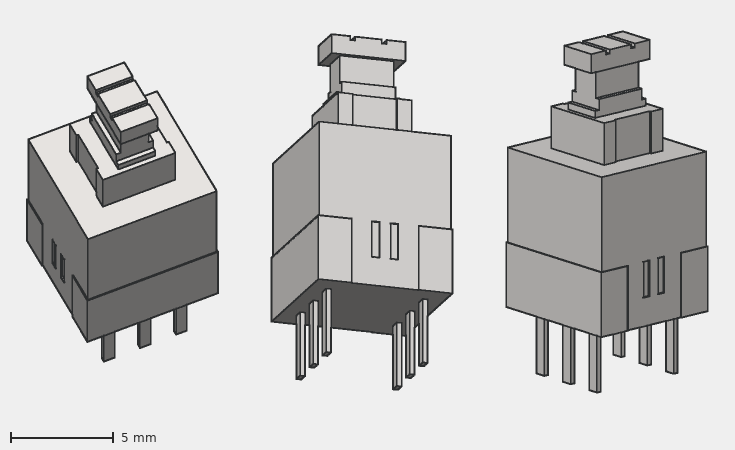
import cadquery as cq


pin_length = 3.25
clip_top = 6.54
housing_top = 11.35
collar_top = 13.48
foot_top = 13.83
ledge_top = 14.38
cap_bottom = 15.79
cap_top = 16.76

clip_x = 6.9
clip_y = 7.04
clip_thickness = 0.05
clip_return = 1.73
housing_x = clip_x - 2 * clip_thickness
housing_y = clip_y - 2 * clip_thickness

slot_width = 0.4
slot_height = 1.83
slot_spacing = 0.95
slot_depth = 0.1

collar_x = 3.8
collar_y = 3.9
recess_width = 2.28
recess_depth = 0.1

foot_x = 3.28
neck_x = 2.78
neck_y = 1.5
cap_x = collar_x
cap_y = 2.0
groove_width = 0.25
groove_depth = 0.2
groove_spacing = 1.63

pin_x = 0.25
pin_y = 0.59
pin_row_spacing = 4.98
pin_pitch = 1.95


def block(size_x, size_y, bottom, top, x=0, y=0):
    """Upright box centred on (x, y) between two levels."""
    return (
        cq.Workplane("XY")
        .box(size_x, size_y, top - bottom, centered=(True, True, False))
        .translate((x, y, bottom))
    )


def make_housing():
    clip = block(clip_x, clip_y, pin_length, clip_top)
    clip_opening = clip_x - 2 * clip_return
    for side in (-1, 1):
        gap_y = side * (clip_y - clip_thickness) / 2
        clip = clip.cut(block(clip_opening, clip_thickness, pin_length, clip_top, y=gap_y))

    housing = block(housing_x, housing_y, pin_length, housing_top).union(clip)
    for side in (-1, 1):
        slot_y = side * (housing_y - slot_depth) / 2
        for slot_x in (-slot_spacing / 2, slot_spacing / 2):
            slot = block(slot_width, slot_depth, clip_top - slot_height, clip_top, slot_x, slot_y)
            housing = housing.cut(slot)
    return housing


def make_collar():
    collar = block(collar_x, collar_y, housing_top, collar_top)
    for side in (-1, 1):
        recess_y = side * (collar_y - recess_depth) / 2
        collar = collar.cut(block(recess_width, recess_depth, housing_top, collar_top, y=recess_y))
    return collar


def make_button():
    foot = block(foot_x, cap_y, collar_top, foot_top)
    ledge = block(neck_x, cap_y, foot_top, ledge_top)
    neck = block(neck_x, neck_y, ledge_top, cap_bottom)
    cap = block(cap_x, cap_y, cap_bottom, cap_top)
    for groove_x in (-groove_spacing / 2, groove_spacing / 2):
        cap = cap.cut(block(groove_width, cap_y, cap_top - groove_depth, cap_top, groove_x))
    return foot.union(ledge).union(neck).union(cap)


def make_pins():
    pins = cq.Workplane("XY")
    for row_x in (-pin_row_spacing / 2, pin_row_spacing / 2):
        for pin_position in (-pin_pitch, 0, pin_pitch):
            pins = pins.add(block(pin_x, pin_y, 0, pin_length, row_x, pin_position))
    return pins.combine()


result = make_housing().union(make_collar()).union(make_button()).union(make_pins())